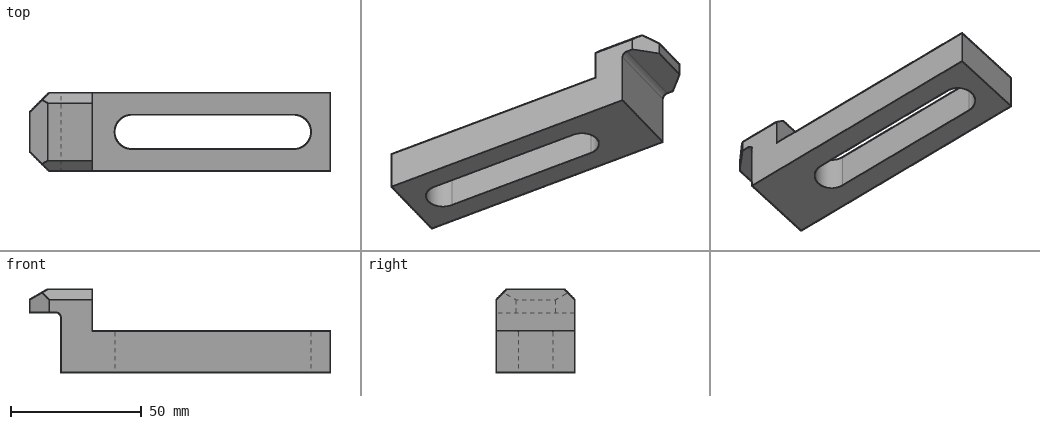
import cadquery as cq
import math

length = 115.0
width = 30.0
height = 32.0

bar_height = 16.0
nose_overhang = 12.0
head_length = 24.0
nose_underside = 23.0
underside_fillet = 2.0

bevel_drop = 4.0
bevel_angle = 30.0
bevel_run = bevel_drop / math.tan(math.radians(bevel_angle))
corner_chamfer = 7.5

slot_length = 75.0
slot_width = 13.0
slot_end_wall = 7.5



def make_profile_body():
    """Stepped side profile with the sloped nose, extruded across the width."""
    return (
        cq.Workplane("XZ")
        .moveTo(nose_overhang, 0)
        .lineTo(length, 0)
        .lineTo(length, bar_height)
        .lineTo(head_length, bar_height)
        .lineTo(head_length, height)
        .lineTo(bevel_run, height)
        .lineTo(0, height - bevel_drop)
        .lineTo(0, nose_underside)
        .lineTo(nose_overhang - underside_fillet, nose_underside)
        .radiusArc((nose_overhang, nose_underside - underside_fillet), underside_fillet)
        .close()
        .extrude(width / 2, both=True)
    )


def make_plan_envelope():
    """Full-height block with the two nose corners cut off."""
    return (
        cq.Workplane("XY")
        .box(length, width, height, centered=(False, True, False))
        .edges("|Z and <X")
        .chamfer(corner_chamfer)
    )


def make_end_envelope():
    """Full-length block with its two long top edges chamfered at 45 degrees."""
    return (
        cq.Workplane("XY")
        .box(length, width, height, centered=(False, True, False))
        .edges("|X and >Z")
        .chamfer(bevel_drop)
    )


def make_slot():
    """Round-ended cutter through the bar."""
    slot_center = length - slot_end_wall - slot_length / 2
    return (
        cq.Workplane("XY")
        .center(slot_center, 0)
        .slot2D(slot_length, slot_width)
        .extrude(bar_height)
    )


result = (
    make_profile_body()
    .intersect(make_plan_envelope())
    .intersect(make_end_envelope())
    .cut(make_slot())
)